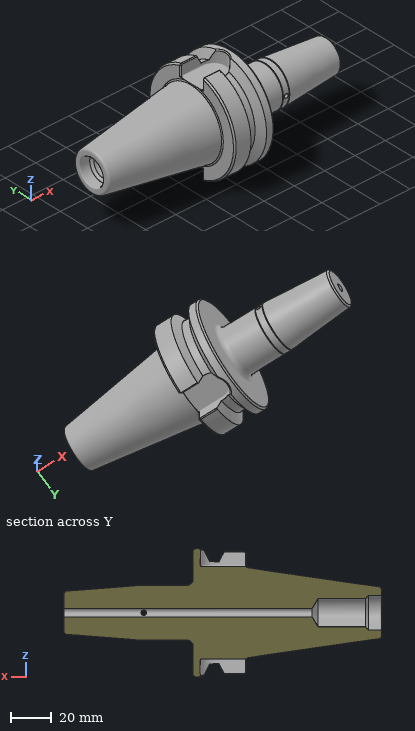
import cadquery as cq
import math

TOTAL_LENGTH = 155.4
GAUGE_X = 65.7
FLANGE_START_X = 66.0
FLANGE_END_X = 92.3

GAUGE_RADIUS = 22.2
TAPER_SLOPE = 7 / 48
TAPER_END_RADIUS = GAUGE_RADIUS - TAPER_SLOPE * GAUGE_X
TAPER_END_ROUND = 1.7
FLARE_RADIUS = 23.2

FLANGE_DIAMETER = 63.0
FLANGE_RADIUS = FLANGE_DIAMETER / 2
FLANGE_CHAMFER = 1.0
GROOVE_CENTER_X = 81.9
GROOVE_TOP_WIDTH = 10.3
GROOVE_FLOOR_WIDTH = 4.5
GROOVE_FLOOR_RADIUS = 26.3

NECK_RADIUS = 13.5
NECK_FILLET = 3.0
BAND_START_X = 114.0
BAND_END_X = 118.5
RING_WIDTH = 0.3
RING_DEPTH = 0.2
NOSE_ANGLE = 4.5
NOSE_CHAMFER = 1.0

SLOT_WIDTH = 16.2
SLOT_FLOOR_HEIGHT = 22.7
SLOT_END_CENTER_X = 80.5
SLOT_FLOOR_FILLET = 0.6
SLOT_CHAMFER = 0.6
SLOT_RIM_LOWEST = 29.5
CLEARANCE = 1.5

COUNTERBORE_RADIUS = 8.4
MOUTH_ROUND = 0.8
COUNTERBORE_DEPTH = 6.5
PILOT_RADIUS = 6.8
PILOT_CHAMFER_LENGTH = 1.4
PILOT_DEPTH = 31.1
DRILL_POINT_ANGLE = 59
COOLANT_RADIUS = 2.0
CROSS_HOLE_RADIUS = 1.2


def body():
    """Revolved outside shape."""
    groove_half_top = GROOVE_TOP_WIDTH / 2
    groove_half_floor = GROOVE_FLOOR_WIDTH / 2
    nose_radius = NECK_RADIUS - math.tan(math.radians(NOSE_ANGLE)) * (TOTAL_LENGTH - BAND_END_X)
    outline = (
        cq.Workplane("XY")
        .moveTo(0, 0)
        .lineTo(0, TAPER_END_RADIUS)
        .lineTo(GAUGE_X, GAUGE_RADIUS)
        .lineTo(FLANGE_START_X, FLARE_RADIUS)
        .lineTo(FLANGE_START_X, FLANGE_RADIUS - FLANGE_CHAMFER)
        .lineTo(FLANGE_START_X + FLANGE_CHAMFER, FLANGE_RADIUS)
        .lineTo(GROOVE_CENTER_X - groove_half_top, FLANGE_RADIUS)
        .lineTo(GROOVE_CENTER_X - groove_half_floor, GROOVE_FLOOR_RADIUS)
        .lineTo(GROOVE_CENTER_X + groove_half_floor, GROOVE_FLOOR_RADIUS)
        .lineTo(GROOVE_CENTER_X + groove_half_top, FLANGE_RADIUS)
        .lineTo(FLANGE_END_X - FLANGE_CHAMFER, FLANGE_RADIUS)
        .lineTo(FLANGE_END_X, FLANGE_RADIUS - FLANGE_CHAMFER)
        .lineTo(FLANGE_END_X, NECK_RADIUS + NECK_FILLET)
        .radiusArc((FLANGE_END_X + NECK_FILLET, NECK_RADIUS), -NECK_FILLET)
        .lineTo(BAND_END_X, NECK_RADIUS)
        .lineTo(TOTAL_LENGTH, nose_radius)
        .lineTo(TOTAL_LENGTH, 0)
        .close()
    )
    solid = outline.revolve(360, (0, 0, 0), (1, 0, 0))
    solid = solid.faces("<X").edges().fillet(TAPER_END_ROUND)
    return solid.faces(">X").edges().chamfer(NOSE_CHAMFER)


def scribed_ring(start_x):
    """Fine ring groove around the neck, as a cutting solid."""
    return (
        cq.Workplane("YZ", origin=(start_x, 0, 0))
        .circle(NECK_RADIUS + RING_DEPTH)
        .circle(NECK_RADIUS - RING_DEPTH)
        .extrude(RING_WIDTH)
    )


def slot_cutter():
    """Round-ended drive slot above the axis, open towards the taper."""
    half_width = SLOT_WIDTH / 2
    start_x = GAUGE_X
    cutter = (
        cq.Workplane("XY", origin=(0, 0, SLOT_FLOOR_HEIGHT))
        .moveTo(start_x, -half_width)
        .lineTo(SLOT_END_CENTER_X, -half_width)
        .threePointArc((SLOT_END_CENTER_X + half_width, 0), (SLOT_END_CENTER_X, half_width))
        .lineTo(start_x, half_width)
        .close()
        .extrude(FLANGE_RADIUS - SLOT_FLOOR_HEIGHT + CLEARANCE)
    )
    return cutter.faces("<Z").edges("not <X").fillet(SLOT_FLOOR_FILLET)


def slot_entry_cutter():
    """Lead-in that bevels both slot walls where they meet the flange face."""
    half_width = SLOT_WIDTH / 2
    return (
        cq.Workplane("XY", origin=(0, 0, SLOT_FLOOR_HEIGHT))
        .moveTo(FLANGE_START_X, -half_width - SLOT_CHAMFER)
        .lineTo(FLANGE_START_X + SLOT_CHAMFER, -half_width)
        .lineTo(FLANGE_START_X + SLOT_CHAMFER, half_width)
        .lineTo(FLANGE_START_X, half_width + SLOT_CHAMFER)
        .close()
        .extrude(FLANGE_RADIUS - SLOT_FLOOR_HEIGHT + CLEARANCE)
    )


def chamfer_slot_rim(solid, side):
    """Bevel the upper slot's rim (side 1) or the lower one's (side -1)."""
    half_width = SLOT_WIDTH / 2 + SLOT_CHAMFER
    rim = cq.selectors.BoxSelector(
        (FLANGE_START_X + SLOT_CHAMFER / 4, -half_width, side * SLOT_RIM_LOWEST),
        (FLANGE_END_X, half_width, side * FLANGE_RADIUS),
    )
    return solid.edges(rim).chamfer(SLOT_CHAMFER)


def bore():
    """Stepped bore from the taper end, running through as a coolant hole."""
    pilot_x = COUNTERBORE_DEPTH + PILOT_CHAMFER_LENGTH
    point_length = (PILOT_RADIUS - COOLANT_RADIUS) / math.tan(math.radians(DRILL_POINT_ANGLE))
    return (
        cq.Workplane("XY")
        .moveTo(0, 0)
        .lineTo(0, COUNTERBORE_RADIUS + MOUTH_ROUND)
        .radiusArc((MOUTH_ROUND, COUNTERBORE_RADIUS), -MOUTH_ROUND)
        .lineTo(COUNTERBORE_DEPTH, COUNTERBORE_RADIUS)
        .lineTo(pilot_x, PILOT_RADIUS)
        .lineTo(PILOT_DEPTH, PILOT_RADIUS)
        .lineTo(PILOT_DEPTH + point_length, COOLANT_RADIUS)
        .lineTo(TOTAL_LENGTH, COOLANT_RADIUS)
        .lineTo(TOTAL_LENGTH, 0)
        .close()
        .revolve(360, (0, 0, 0), (1, 0, 0))
    )


def cross_hole():
    """Small hole through the middle of the band, along Y."""
    center_x = (BAND_START_X + BAND_END_X) / 2
    return (
        cq.Workplane("XZ", origin=(center_x, 0, 0))
        .circle(CROSS_HOLE_RADIUS)
        .extrude(NECK_RADIUS + CLEARANCE, both=True)
    )


result = body()
for ring_x in (BAND_START_X, BAND_END_X - RING_WIDTH):
    result = result.cut(scribed_ring(ring_x))
for side, turn in ((1, 0), (-1, 180)):
    result = result.cut(slot_cutter().rotate((0, 0, 0), (1, 0, 0), turn))
    result = chamfer_slot_rim(result, side)
    result = result.cut(slot_entry_cutter().rotate((0, 0, 0), (1, 0, 0), turn))
result = result.cut(bore()).cut(cross_hole())